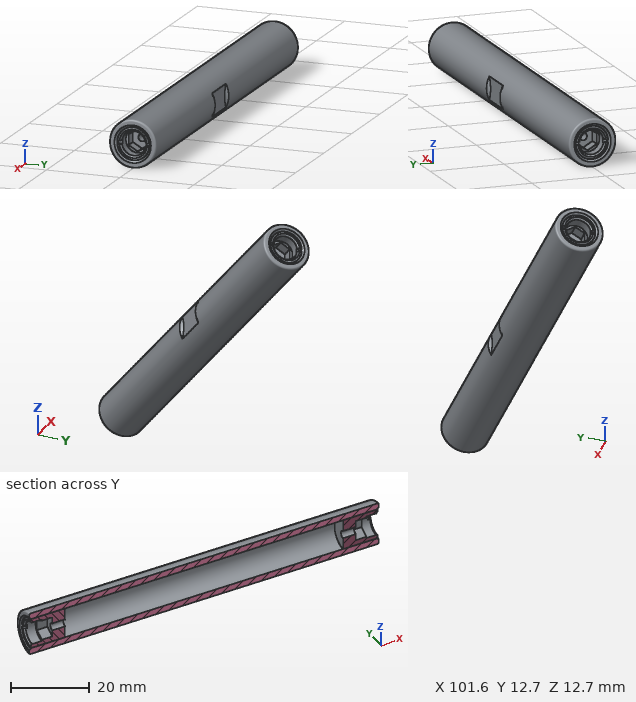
import cadquery as cq
import math

length = 101.6
outer_radius = 12.7 / 2
end_round = 0.5
bore_radius = 8.7 / 2
mouth_radius = 10.0 / 2
mouth_depth = mouth_radius - bore_radius

flat_start = 49.8
flat_length = 9.8
flat_offset = 11.1 / 2
flat_end = flat_start + flat_length
flat_ramp = outer_radius - flat_offset

plug_length = 10.2
plug_recess = 0.3
entry_radius = 7.5 / 2
socket_radius = 6.5 / 2
entry_depth = entry_radius - socket_radius
socket_depth = 2.8
hex_across_flats = 5.0
hex_depth = 3.0
vent_radius = 2.0 / 2
slot_width = 0.9
slot_depth = 1.0


def revolve_about_x(points):
    """Turn a closed (x, radius) outline about the X axis."""
    return cq.Workplane("XY").polyline(points).close().revolve(360, (0, 0, 0), (1, 0, 0))


def cylinder_along_x(radius, start, size):
    return cq.Workplane("YZ", origin=(start, 0, 0)).circle(radius).extrude(size)


def make_flats_cutter():
    """Everything outside the two flats, between the conical run-outs."""
    ring = revolve_about_x([
        (flat_start, outer_radius),
        (flat_start, 2 * outer_radius),
        (flat_end, 2 * outer_radius),
        (flat_end, outer_radius),
        (flat_end - flat_ramp, flat_offset),
        (flat_start + flat_ramp, flat_offset),
    ])
    kept_slab = cq.Workplane("XY").box(2 * length, 2 * flat_offset, 4 * outer_radius)
    return ring.cut(kept_slab)


def make_sleeve():
    blank = cylinder_along_x(outer_radius, 0, length).edges().fillet(end_round)
    bore = revolve_about_x([
        (0, 0),
        (0, mouth_radius),
        (mouth_depth, bore_radius),
        (length - mouth_depth, bore_radius),
        (length, mouth_radius),
        (length, 0),
    ])
    return blank.cut(bore).cut(make_flats_cutter())


def make_plug():
    """Plug with its open end at X = 0, reaching toward +X."""
    shelf = entry_depth + socket_depth
    body = cylinder_along_x(bore_radius, 0, plug_length)
    socket = revolve_about_x([
        (0, 0),
        (0, entry_radius),
        (entry_depth, socket_radius),
        (shelf, socket_radius),
        (shelf, 0),
    ])
    hex_across_corners = hex_across_flats / math.cos(math.pi / 6)
    hexagon = (
        cq.Workplane("YZ", origin=(shelf, 0, 0))
        .transformed(rotate=(0, 0, 90))
        .polygon(6, hex_across_corners)
        .extrude(hex_depth)
    )
    vent = cylinder_along_x(vent_radius, 0, plug_length)
    slot = cq.Workplane("XY").box(2 * slot_depth, 2 * mouth_radius, slot_width)
    return body.cut(socket).cut(hexagon).cut(vent).cut(slot)


sleeve = make_sleeve()

plugs = []
for end_x, turn in ((plug_recess, 0), (length - plug_recess, 180)):
    plug = make_plug().rotate((0, 0, 0), (0, 0, 1), turn).translate((end_x, 0, 0))
    plugs.append(plug.val())

result = cq.Compound.makeCompound([sleeve.val(), *plugs])